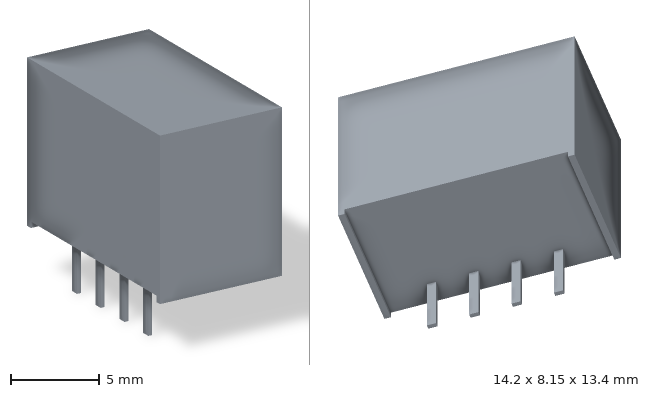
import cadquery as cq

LENGTH = 14.15
DEPTH = 8.15
OVERALL_HEIGHT = 13.45
HOUSING_HEIGHT = 9.88

RAIL_WIDTH = 0.4
RAIL_HEIGHT = 0.4

PIN_COUNT = 4
PIN_PITCH = 2.53
PIN_WIDTH = 0.55
PIN_THICKNESS = 0.25
PIN_LENGTH = OVERALL_HEIGHT - HOUSING_HEIGHT
PIN_FRONT_GAP = 1.1

MARK_DIAMETER = 0.6
MARK_RECESS = 0.1
MARK_FROM_END = 1.35
MARK_HEIGHT = 1.0

FRONT_Y = -DEPTH / 2
LEFT_X = -LENGTH / 2


def make_mark():
    """Thin disc whose outer face lies in the housing front face."""
    front_plane = cq.Plane(
        origin=(LEFT_X + MARK_FROM_END, FRONT_Y, MARK_HEIGHT),
        xDir=(1, 0, 0),
        normal=(0, -1, 0),
    )
    return cq.Workplane(front_plane).circle(MARK_DIAMETER / 2).extrude(-MARK_RECESS)


def make_housing(mark):
    """Plain block with a shallow recess that holds the mark."""
    block = cq.Workplane("XY").box(LENGTH, DEPTH, HOUSING_HEIGHT, centered=(True, True, False))
    return block.cut(mark)


def make_rail(side):
    """Full-depth standoff rail, flush with the left (-1) or right (+1) end."""
    center_x = side * (LENGTH - RAIL_WIDTH) / 2
    return (
        cq.Workplane("XY")
        .box(RAIL_WIDTH, DEPTH, RAIL_HEIGHT, centered=(True, True, False))
        .translate((center_x, 0, -RAIL_HEIGHT))
    )


def make_pin(index):
    """Flat pin hanging from the housing underside."""
    center_x = (index - (PIN_COUNT - 1) / 2) * PIN_PITCH
    center_y = FRONT_Y + PIN_FRONT_GAP + PIN_THICKNESS / 2
    return (
        cq.Workplane("XY")
        .box(PIN_WIDTH, PIN_THICKNESS, PIN_LENGTH, centered=(True, True, False))
        .translate((center_x, center_y, -PIN_LENGTH))
    )


mark = make_mark()
housing = make_housing(mark)
rails = [make_rail(side) for side in (-1, 1)]
pins = [make_pin(index) for index in range(PIN_COUNT)]

result = cq.Compound.makeCompound(
    [housing.val(), mark.val()]
    + [rail.val() for rail in rails]
    + [pin.val() for pin in pins]
)